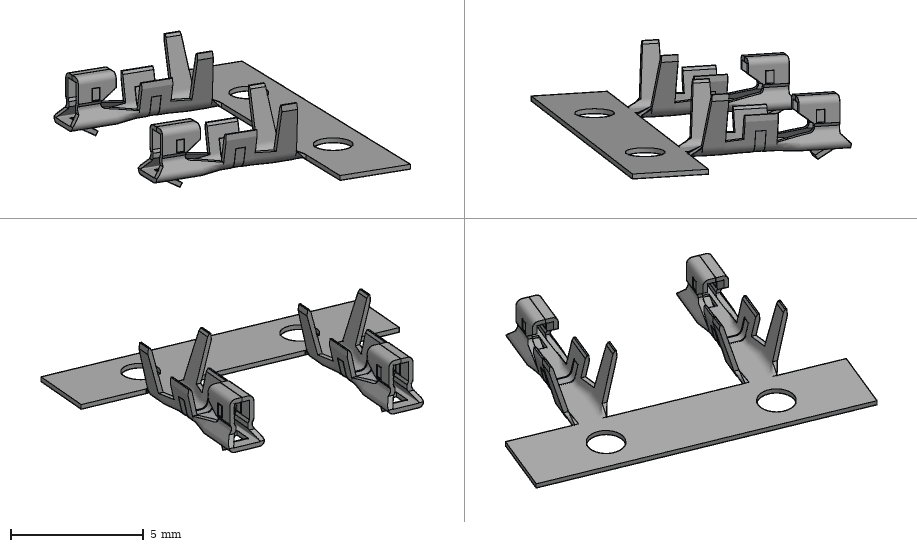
import cadquery as cq
import math


SHEET = 0.2
STRIP_LENGTH = 14.0
STRIP_WIDTH = 3.0
PILOT_DIAMETER = 1.5
PITCH = STRIP_LENGTH / 2
TERMINAL_COUNT = 2

TERMINAL_END = STRIP_WIDTH - 9.4
INSULATION_REAR = -0.52
INSULATION_FRONT = -1.4
CONDUCTOR_REAR = -2.18
CONDUCTOR_FRONT = -3.5
BOX_REAR = -4.41
BOX_FRONT = -6.02

ROOT_HALF_WIDTH = 0.66
INSULATION = dict(flat=0.34, radius=0.56, lean=15.2)
CONDUCTOR = dict(flat=0.22, radius=0.45, lean=12.5)
TRAY = dict(flat=0.55, radius=0.22, lean=-35.0)

REAR_WALL_HEIGHT = 0.48
INSULATION_HEIGHT = 2.58
INSULATION_TIP_SETBACK = 0.24
MIDDLE_WALL_HEIGHT = 0.62
CONDUCTOR_HEIGHT = 1.57
FRONT_WALL_HEIGHT = 0.42
TRAY_WALL_HEIGHT = 0.59
TIP_OUTER_DROP = 0.25
TIP_INNER_DROP = 0.11
TIP_CREST_WIDTH = 0.07
TIP_CREST_SHIFT = 0.03

GROOVE_REAR = -2.63
GROOVE_FRONT = -3.04
GROOVE_HEIGHT = 0.92
GROOVE_INNER_DEPTH = 0.04
GROOVE_OUTER_DEPTH = 0.01

BOX_HALF_WIDTH = 0.53
BOX_HEIGHT = 2.02
ROOF_RADIUS = 0.27
ROOF_SEAM = 0.007
NECK_HALF_WIDTH = 0.46
NECK_BOTTOM = 0.78
NECK_TOP = 0.88
BOX_WALL_BOTTOM = 1.01
MOUTH_LIP_HEIGHT = 0.21
WINDOW_FLOOR_END = -4.85
WINDOW_FLOOR_END_HEIGHT = 0.66
WINDOW_FRONT = -5.03
WINDOW_TOP_HEIGHT = 0.98
WINDOW_REAR_HEIGHT = 1.44
DIMPLE_REAR = -5.1
DIMPLE_LENGTH = 0.32
DIMPLE_BOTTOM = 1.05
DIMPLE_HEIGHT = 0.49
DIMPLE_DEPTH = 0.04

TONGUE_HALF_WIDTH = 0.35
TONGUE_HINGE = -5.92
TONGUE_LENGTH = 0.84
TONGUE_ANGLE = 30.0


def cross_section(y):
    """Workplane across the terminal at y; local axes are X and Z, extrusion runs to -Y."""
    return cq.Workplane("XZ", origin=(0, y, 0))


def side_prism(points):
    """Solid wider than a terminal, with an outline of (y, z) points."""
    return cq.Workplane("YZ").polyline(points).close().extrude(PITCH / 2, both=True)


def bend_point(flat, centre_height, radius, angle):
    """Point on a channel bend, at an angle in degrees measured from the floor."""
    turn = math.radians(angle)
    return (flat + radius * math.sin(turn), centre_height - radius * math.cos(turn))


def wall_point(start, lean, height):
    """Point at a height on the straight wall that leaves the bend at start."""
    return (start[0] + (height - start[1]) * math.tan(math.radians(lean)), height)


def mirror_x(point):
    return (-point[0], point[1])


def channel(y, flat, radius, lean, height, outer_gap=0.0, inner_gap=SHEET, tips=False):
    """Closed channel outline: floor, two bends and two leaning walls.

    The gaps are the distances of the outer and inner faces from the outer sheet surface.
    """
    outer_radius = radius - outer_gap
    inner_radius = radius - inner_gap
    turn = 90 - lean
    outer_mid = bend_point(flat, radius, outer_radius, turn / 2)
    outer_end = bend_point(flat, radius, outer_radius, turn)
    inner_mid = bend_point(flat, radius, inner_radius, turn / 2)
    inner_end = bend_point(flat, radius, inner_radius, turn)
    outer_top = wall_point(outer_end, lean, height - (TIP_OUTER_DROP if tips else 0))
    inner_top = wall_point(inner_end, lean, height - (TIP_INNER_DROP if tips else 0))
    rim = [outer_top, inner_top]
    if tips:
        crest_outer_x = (outer_top[0] + inner_top[0] + TIP_CREST_WIDTH) / 2 + TIP_CREST_SHIFT
        rim = [outer_top, (crest_outer_x, height), (crest_outer_x - TIP_CREST_WIDTH, height), inner_top]
    outline = cross_section(y).moveTo(-flat, outer_gap).lineTo(flat, outer_gap)
    outline = outline.threePointArc(outer_mid, outer_end)
    for point in rim:
        outline = outline.lineTo(*point)
    outline = outline.lineTo(*inner_end).threePointArc(inner_mid, (flat, inner_gap))
    outline = outline.lineTo(-flat, inner_gap).threePointArc(mirror_x(inner_mid), mirror_x(inner_end))
    for point in reversed(rim):
        outline = outline.lineTo(*mirror_x(point))
    outline = outline.lineTo(*mirror_x(outer_end))
    return outline.threePointArc(mirror_x(outer_mid), (-flat, outer_gap)).close()


def flat_root(y):
    """Flat sheet outline, divided into the same edges as a channel."""
    flat = INSULATION["flat"]
    bend_end = (flat + ROOT_HALF_WIDTH) / 2
    right = [(flat, 0), (bend_end, 0), (ROOT_HALF_WIDTH, 0)]
    right += [(x, SHEET) for x, _ in reversed(right)]
    left = [mirror_x(point) for point in reversed(right)]
    return cross_section(y).polyline([left[-1]] + right + left[:-1]).close()


def transition(rear, front):
    """Straight-ruled sheet between two outlines."""
    return cq.Workplane(cq.Solid.makeLoft([rear.val(), front.val()], True))


def carrier_strip():
    strip = cq.Workplane("XY").box(STRIP_LENGTH, STRIP_WIDTH, SHEET, centered=(True, False, False))
    holes = cq.Workplane("XY").pushPoints([(x, STRIP_WIDTH / 2) for x in terminal_positions()])
    return strip.cut(holes.circle(PILOT_DIAMETER / 2).extrude(SHEET))


def insulation_barrel():
    length = INSULATION_REAR - INSULATION_FRONT
    barrel = channel(INSULATION_REAR, height=INSULATION_HEIGHT, tips=True, **INSULATION).extrude(length)
    return barrel.intersect(side_prism([
        (INSULATION_REAR, 0),
        (INSULATION_REAR, REAR_WALL_HEIGHT),
        (INSULATION_REAR - INSULATION_TIP_SETBACK, INSULATION_HEIGHT),
        (INSULATION_FRONT, INSULATION_HEIGHT),
        (INSULATION_FRONT, 0),
    ]))


def conductor_barrel():
    length = CONDUCTOR_REAR - CONDUCTOR_FRONT
    barrel = channel(CONDUCTOR_REAR, height=CONDUCTOR_HEIGHT, tips=True, **CONDUCTOR).extrude(length)
    inner_floor = SHEET - GROOVE_INNER_DEPTH
    for outer_gap, inner_gap in ((-SHEET, GROOVE_OUTER_DEPTH), (inner_floor, inner_floor + SHEET / 2)):
        gaps = dict(outer_gap=outer_gap, inner_gap=inner_gap)
        groove = channel(GROOVE_REAR, height=GROOVE_HEIGHT, **gaps, **CONDUCTOR)
        barrel = barrel.cut(groove.extrude(GROOVE_REAR - GROOVE_FRONT))
    return barrel


def half_box_outline():
    """Right half of the contact box: tray, narrow neck, upright wall and roof flap up to the seam."""
    flat, radius, lean = TRAY["flat"], TRAY["radius"], TRAY["lean"]
    inner_radius = radius - SHEET
    turn = 90 - lean
    outer_end = bend_point(flat, radius, radius, turn)
    inner_end = bend_point(flat, radius, inner_radius, turn)
    slope = math.tan(math.radians(lean))
    neck_inner = NECK_HALF_WIDTH - SHEET
    neck_start = outer_end[1] + (NECK_HALF_WIDTH - outer_end[0]) / slope
    inner_neck_start = inner_end[1] + (neck_inner - inner_end[0]) / slope
    neck_bend = NECK_BOTTOM - neck_start
    box_inner = BOX_HALF_WIDTH - SHEET
    seam_edge = ROOF_SEAM / 2
    return (
        cross_section(BOX_REAR)
        .moveTo(0, 0)
        .lineTo(flat, 0)
        .threePointArc(bend_point(flat, radius, radius, turn / 2), outer_end)
        .lineTo(*wall_point(outer_end, lean, neck_start - neck_bend))
        .tangentArcPoint((NECK_HALF_WIDTH, NECK_BOTTOM), relative=False)
        .lineTo(NECK_HALF_WIDTH, NECK_TOP)
        .lineTo(BOX_HALF_WIDTH, BOX_WALL_BOTTOM)
        .lineTo(BOX_HALF_WIDTH, BOX_HEIGHT - ROOF_RADIUS)
        .tangentArcPoint((BOX_HALF_WIDTH - ROOF_RADIUS, BOX_HEIGHT), relative=False)
        .lineTo(seam_edge, BOX_HEIGHT)
        .lineTo(seam_edge, BOX_HEIGHT - SHEET)
        .lineTo(box_inner, BOX_HEIGHT - SHEET)
        .lineTo(box_inner, BOX_WALL_BOTTOM)
        .lineTo(neck_inner, NECK_TOP)
        .lineTo(neck_inner, inner_neck_start)
        .lineTo(*inner_end)
        .threePointArc(bend_point(flat, radius, inner_radius, turn / 2), (flat, SHEET))
        .lineTo(0, SHEET)
        .close()
    )


def side_window():
    """Rounded notch through both walls behind the box neck."""
    corner = (WINDOW_FRONT, (WINDOW_FLOOR_END_HEIGHT + WINDOW_TOP_HEIGHT) / 2)
    return (
        cq.Workplane("YZ")
        .moveTo(BOX_REAR, TRAY_WALL_HEIGHT)
        .lineTo(WINDOW_FLOOR_END, WINDOW_FLOOR_END_HEIGHT)
        .tangentArcPoint(corner, relative=False)
        .lineTo(WINDOW_FRONT, WINDOW_TOP_HEIGHT)
        .lineTo(BOX_REAR, WINDOW_REAR_HEIGHT)
        .close()
        .extrude(PITCH / 2, both=True)
    )


def tongue(angle):
    """Sheet strip running to the rear from its hinge, bent down by an angle in degrees."""
    blade = cq.Workplane("XY").box(
        2 * TONGUE_HALF_WIDTH, TONGUE_LENGTH, SHEET, centered=(True, False, False)
    )
    return blade.rotate((0, 0, 0), (1, 0, 0), -angle).translate((0, TONGUE_HINGE, 0))


def contact_box():
    right_half = half_box_outline().extrude(BOX_REAR - TERMINAL_END)
    box = right_half.union(right_half.mirror("YZ"))
    box = box.cut(side_window())
    box = box.cut(side_prism([
        (BOX_FRONT, BOX_HEIGHT),
        (BOX_FRONT, TRAY_WALL_HEIGHT),
        (TERMINAL_END, MOUTH_LIP_HEIGHT),
        (TERMINAL_END, BOX_HEIGHT),
    ]))
    dimple = cq.Workplane("XY").box(DIMPLE_DEPTH, DIMPLE_LENGTH, DIMPLE_HEIGHT, centered=False)
    dimple = dimple.translate((0, DIMPLE_REAR - DIMPLE_LENGTH, DIMPLE_BOTTOM))
    recess_x = BOX_HALF_WIDTH - DIMPLE_DEPTH
    for recess_left, bump_left in ((recess_x, recess_x - SHEET), (-BOX_HALF_WIDTH, SHEET - BOX_HALF_WIDTH)):
        box = box.cut(dimple.translate((recess_left, 0, 0)))
        box = box.union(dimple.translate((bump_left, 0, 0)))
    return box.cut(tongue(0)).union(tongue(TONGUE_ANGLE))


def terminal():
    """One complete terminal, centred on X = 0."""
    root = transition(
        flat_root(0), channel(INSULATION_REAR, height=REAR_WALL_HEIGHT, **INSULATION)
    )
    middle = transition(
        channel(INSULATION_FRONT, height=MIDDLE_WALL_HEIGHT, **INSULATION),
        channel(CONDUCTOR_REAR, height=MIDDLE_WALL_HEIGHT, **CONDUCTOR),
    )
    front = transition(
        channel(CONDUCTOR_FRONT, height=FRONT_WALL_HEIGHT, **CONDUCTOR),
        channel(BOX_REAR, height=TRAY_WALL_HEIGHT, **TRAY),
    )
    body = root
    for section in (insulation_barrel(), middle, conductor_barrel(), front, contact_box()):
        body = body.union(section)
    return body


def terminal_positions():
    return [(i - (TERMINAL_COUNT - 1) / 2) * PITCH for i in range(TERMINAL_COUNT)]


assembly = carrier_strip()
one_terminal = terminal()
for position in terminal_positions():
    assembly = assembly.union(one_terminal.translate((position, 0, 0)))
result = assembly.solids()